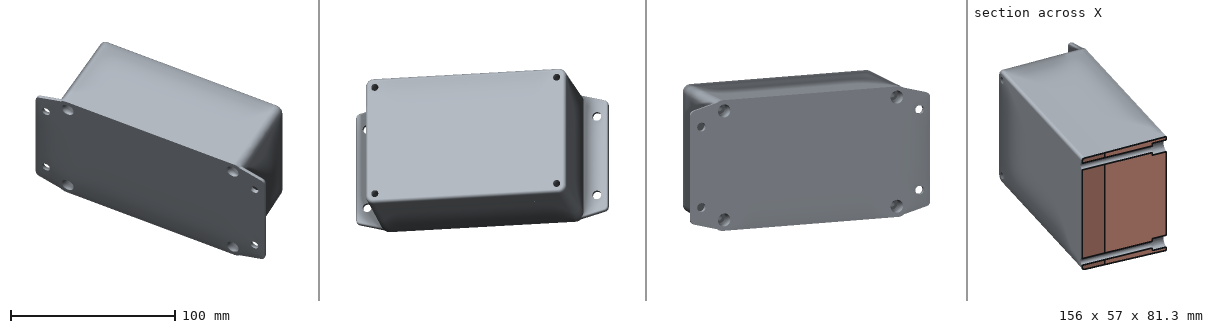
import cadquery as cq
import math

TOTAL_LENGTH = 156.0
TOTAL_DEPTH = 57.0
BOX_HEIGHT = 81.3
BOX_LENGTH = 125.9
CORNER_RADIUS = 5.8

BASE_DEPTH = 41.8
LID_DEPTH = TOTAL_DEPTH - BASE_DEPTH

BASE_DRAFT = 1.0
LID_DRAFT = 0.7
SEAM_INSET = BASE_DEPTH * math.tan(math.radians(BASE_DRAFT))

LID_EDGE_RADIUS = 2.0

TAB_THICKNESS = 2.5
TAB_END_HEIGHT = 69.4
TAB_SLOPE = 15.0
TAB_CORNER_RADIUS = 3.0
TAB_EDGE_RADIUS = 1.0
TAB_HOLE_DIAMETER = 5.5
TAB_HOLE_SPACING_X = 142.1
TAB_HOLE_SPACING_Z = 50.0

SCREW_HOLE_DIAMETER = 4.4
SCREW_HEAD_DIAMETER = 8.1
SCREW_HEAD_DEPTH = 9.4
SCREW_SPACING_X = 112.5
SCREW_SPACING_Z = 67.8


def plane_at(y):
    """XZ workplane at depth y whose extrusions run towards +Y."""
    return cq.Workplane(cq.Plane(origin=(0, y, 0), xDir=(1, 0, 0), normal=(0, 1, 0)))


def drafted_block(y, depth, inset, draft):
    """Block from depth y on, starting as the box outline moved inwards by inset."""
    outline = cq.Sketch().rect(BOX_LENGTH - 2 * inset, BOX_HEIGHT - 2 * inset)
    outline = outline.vertices().fillet(CORNER_RADIUS - inset)
    return plane_at(y).placeSketch(outline).extrude(depth, taper=draft)


def four_holes(y, depth, diameter, spacing_x, spacing_z):
    """Cylinders on the corners of a rectangle, to be cut away."""
    centres = plane_at(y).rect(spacing_x, spacing_z, forConstruction=True).vertices()
    return centres.circle(diameter / 2).extrude(depth)


def tab_plate():
    """Flat plate whose sloped ends stick out of the box as mounting tabs."""
    end_x = TOTAL_LENGTH / 2
    end_z = TAB_END_HEIGHT / 2
    inner_x = BOX_LENGTH / 2 - CORNER_RADIUS / 2
    inner_z = end_z + (end_x - inner_x) * math.tan(math.radians(TAB_SLOPE))
    points = [
        (end_x, -end_z),
        (end_x, end_z),
        (inner_x, inner_z),
        (-inner_x, inner_z),
        (-end_x, end_z),
        (-end_x, -end_z),
        (-inner_x, -inner_z),
        (inner_x, -inner_z),
    ]
    plate = plane_at(0).polyline(points).close().extrude(TAB_THICKNESS)
    plate = plate.edges("|Y").edges("<X or >X").fillet(TAB_CORNER_RADIUS)
    return plate.faces(">Y").edges().fillet(TAB_EDGE_RADIUS)


def screw_holes():
    """Four screw holes that run through the whole depth of the box."""
    return four_holes(0, TOTAL_DEPTH, SCREW_HOLE_DIAMETER, SCREW_SPACING_X, SCREW_SPACING_Z)


def make_base():
    base = drafted_block(0, BASE_DEPTH, 0, BASE_DRAFT).union(tab_plate())
    base = base.cut(
        four_holes(0, TAB_THICKNESS, TAB_HOLE_DIAMETER, TAB_HOLE_SPACING_X, TAB_HOLE_SPACING_Z)
    )
    base = base.cut(
        four_holes(0, SCREW_HEAD_DEPTH, SCREW_HEAD_DIAMETER, SCREW_SPACING_X, SCREW_SPACING_Z)
    )
    return base.cut(screw_holes())


def make_lid():
    lid = drafted_block(BASE_DEPTH, LID_DEPTH, SEAM_INSET, LID_DRAFT)
    lid = lid.faces(">Y").edges().fillet(LID_EDGE_RADIUS)
    return lid.cut(screw_holes())


base = make_base()
lid = make_lid()
result = cq.Compound.makeCompound([base.solids().val(), lid.solids().val()])